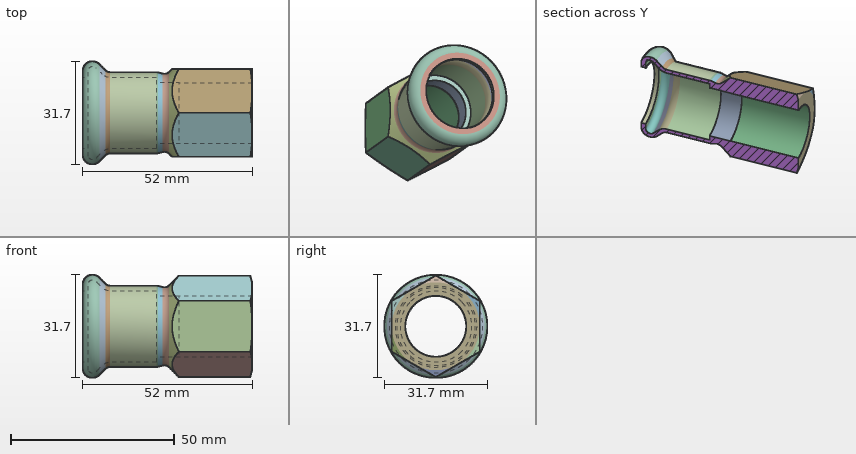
import cadquery as cq
import math

length = 52.0
wall = 1.55
bead_radius = 3.0
bead_diameter = 31.7
bead_slope = math.radians(45)
tube_diameter = 25.0
blend_radius = 2.1
tube_end = 22.65
neck_slope = math.radians(15)
neck_line_length = 1.35
shoulder_slope = math.radians(45)
hex_across_flats = 27.0
end_chamfer_angle = math.radians(15)
bore_diameter = 18.7
thread_diameter = 18.6

tube_radius = tube_diameter / 2
bead_centre_radius = bead_diameter / 2 - bead_radius
socket_radius = tube_radius - wall
hex_corner_radius = hex_across_flats / math.sqrt(3)
flat_radius = hex_across_flats / 2
bore_radius = bore_diameter / 2
thread_radius = thread_diameter / 2

slope_drop = (
    bead_centre_radius - tube_radius - blend_radius
    + (bead_radius + blend_radius) * math.cos(bead_slope)
)
tube_start = (
    bead_radius
    + (bead_radius + blend_radius) * math.sin(bead_slope)
    + slope_drop / math.tan(bead_slope)
)


def arc_point(centre, radius, angle):
    """Point on a profile arc; angle is measured from +radial toward +X."""
    return (
        centre[0] + radius * math.sin(angle),
        centre[1] + radius * math.cos(angle),
    )


bead_centre = (bead_radius, bead_centre_radius)
tube_blend_centre = (tube_start, tube_radius + blend_radius)


def add_bead_and_blend(profile, offset):
    """Continue a profile over the bead and down to the tube, offset inward."""
    bead = bead_radius - offset
    blend = blend_radius + offset
    blend_start = math.pi + bead_slope
    blend_middle = math.pi + bead_slope / 2
    bead_middle = (bead_slope - math.pi / 2) / 2
    return (
        profile
        .threePointArc(
            arc_point(bead_centre, bead, bead_middle),
            arc_point(bead_centre, bead, bead_slope),
        )
        .lineTo(*arc_point(tube_blend_centre, blend, blend_start))
        .threePointArc(
            arc_point(tube_blend_centre, blend, blend_middle),
            arc_point(tube_blend_centre, blend, math.pi),
        )
    )


crest_centre = (tube_end, tube_radius - blend_radius)
crest_end = arc_point(crest_centre, blend_radius, neck_slope)
neck_line_end = (
    crest_end[0] + neck_line_length,
    crest_end[1] - neck_line_length * math.tan(neck_slope),
)
neck_centre = (
    neck_line_end[0] + blend_radius * math.sin(neck_slope),
    neck_line_end[1] + blend_radius * math.cos(neck_slope),
)
neck_bottom = arc_point(neck_centre, blend_radius, math.pi)
neck_end = arc_point(neck_centre, blend_radius, math.pi - shoulder_slope)
shoulder_end = neck_end[0] + (hex_corner_radius - neck_end[1]) / math.tan(shoulder_slope)
chamfer_start = length - (hex_corner_radius - flat_radius) * math.tan(end_chamfer_angle)


def revolve_about_x(profile):
    return profile.close().revolve(360, (0, 0, 0), (1, 0, 0))


def outer_body():
    """Turned outside shape, as large as the hexagon's corners at its right end."""
    profile = cq.Workplane("XY").lineTo(0, bead_centre_radius)
    profile = (
        add_bead_and_blend(profile, 0)
        .lineTo(tube_end, tube_radius)
        .threePointArc(arc_point(crest_centre, blend_radius, neck_slope / 2), crest_end)
        .lineTo(*neck_line_end)
        .threePointArc(neck_bottom, neck_end)
        .lineTo(shoulder_end, hex_corner_radius)
        .lineTo(chamfer_start, hex_corner_radius)
        .lineTo(length, flat_radius)
        .lineTo(length, 0)
    )
    return revolve_about_x(profile)


def hexagon_envelope():
    """Hexagonal bar behind the neck and a clear round bar ahead of it."""
    hexagon = (
        cq.Workplane("YZ", origin=(neck_bottom[0], 0, 0))
        .transformed(rotate=(0, 0, 90))
        .polygon(6, 2 * hex_corner_radius)
        .extrude(length - neck_bottom[0])
    )
    front_bar = cq.Workplane("YZ").circle(bead_diameter).extrude(neck_bottom[0])
    return hexagon.union(front_bar)


def socket_cavity():
    """Mouth, seal groove inside the bead, and tube socket down to its stop."""
    profile = (
        cq.Workplane("XY")
        .lineTo(0, socket_radius)
        .lineTo(wall, socket_radius)
        .lineTo(wall, bead_centre_radius)
    )
    profile = (
        add_bead_and_blend(profile, wall)
        .lineTo(tube_end, socket_radius)
        .lineTo(tube_end, 0)
    )
    return revolve_about_x(profile)


clearance_bore = cq.Workplane("YZ").circle(bore_radius).extrude(shoulder_end)
thread_bore = cq.Workplane("YZ").circle(thread_radius).extrude(length)

result = (
    outer_body()
    .intersect(hexagon_envelope())
    .cut(socket_cavity())
    .cut(clearance_bore)
    .cut(thread_bore)
)